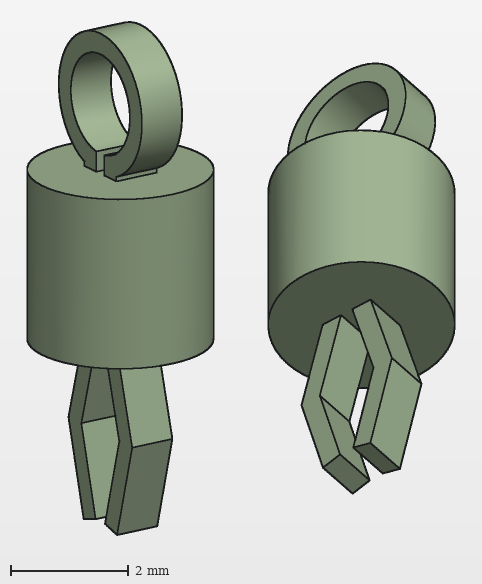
import cadquery as cq
import math

overall_height = 8.89
body_diameter = 3.18
body_height = 3.05

wire_thickness = 0.37
wire_depth = 0.83
neck_gap = 0.24

ring_diameter = 2.54
ring_rise = 2.525

leg_thickness = 0.38
elbow_drop = 1.61
elbow_half_gap = 0.58
lower_leg_angle = 15.2

ring_radius = ring_diameter / 2
ring_bore_radius = ring_radius - wire_thickness
ring_center_z = body_height + ring_rise - ring_radius
neck_width = neck_gap + 2 * wire_thickness
leg_drop = overall_height - body_height - ring_rise


def strip(profile):
    """Extrude an XZ profile to the strip width, centred on Y."""
    return profile.extrude(wire_depth / 2, both=True)


def make_body():
    return cq.Workplane("XY").circle(body_diameter / 2).extrude(body_height)


def make_ring():
    """Open ring standing on a short split neck."""
    neck_height = ring_center_z - body_height
    plane = cq.Workplane("XZ", origin=(0, 0, body_height))
    ring = strip(plane.center(0, neck_height).circle(ring_radius))
    neck = strip(plane.rect(neck_width, 2 * neck_height))
    bore = strip(plane.center(0, neck_height).circle(ring_bore_radius))
    slit = strip(plane.rect(neck_gap, 2 * neck_height))
    above_body = strip(plane.center(0, ring_rise / 2).rect(ring_diameter, ring_rise))
    return ring.union(neck).cut(bore).cut(slit).intersect(above_body)


def make_leg():
    """Leg on the +X side: out to the elbow, then back in to a square-cut tip."""
    angle = math.radians(lower_leg_angle)
    level_width = leg_thickness / math.cos(angle)
    top_inner_x = neck_gap / 2
    elbow_outer_x = elbow_half_gap + level_width
    tip_outer_x = elbow_outer_x - (leg_drop - elbow_drop) * math.tan(angle)
    tip_inner_x = tip_outer_x - leg_thickness * math.cos(angle)
    tip_inner_z = -leg_drop + leg_thickness * math.sin(angle)
    outline = [
        (top_inner_x, 0),
        (top_inner_x + level_width, 0),
        (elbow_outer_x, -elbow_drop),
        (tip_outer_x, -leg_drop),
        (tip_inner_x, tip_inner_z),
        (elbow_half_gap, -elbow_drop),
    ]
    return strip(cq.Workplane("XZ").polyline(outline).close())


leg = make_leg()
result = make_body().union(make_ring()).union(leg).union(leg.mirror("YZ"))